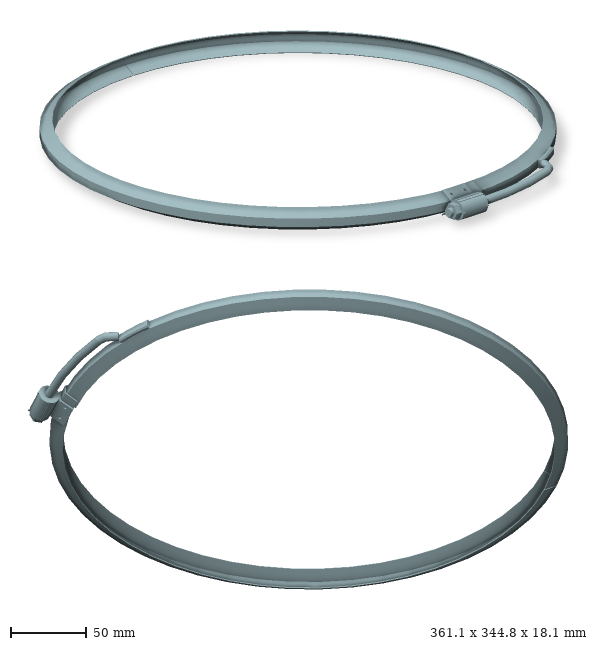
import cadquery as cq
import math

crest_half_height = 3.0
flank_turn = math.radians(59.5)
band_thickness = 0.7
band_half_height = 8.0

lower_radius = 172.5
lower_overlap = 8.5

upper_radius = 171.75
upper_center = (upper_radius - lower_radius, 0.53)

saddle_thickness = 1.0
saddle_length = 20.0
saddle_half_height = 9.06
weld_hole_diameter = 2.0
weld_hole_x = 168.7
weld_hole_ys = (-3.5, -15.5)

barrel_diameter = 14.2
barrel_length = 22.0
barrel_x = lower_radius + saddle_thickness + barrel_diameter / 2
web_half_height = 2.5
groove_angles = (65, 88)
groove_width = 0.8
groove_depth = 0.5
tab_reach = 188.56
tab_size = 1.0
tab_root = 2.0

nut_across_flats = 10.0
nut_thickness = 4.7

bolt_diameter = 6.0
bolt_radius = bolt_diameter / 2
bolt_end_y = -29.7
bow_radius = 200.0
bow_angle = math.asin(71.0 / bow_radius)
neck_point = (164.4, 75.6)
neck_end = (156.5, 78.8)
foot_thickness = 3.0
foot_height = 6.0
foot_chamfer = 1.0
foot_start_angle = 26.0
foot_end_angle = 34.5


def channel_profile(radius, crest, half_height, thickness):
    """Bent-sheet V section, in the XZ plane, with flank ends cut square to the sheet."""
    flank_rise = half_height - crest
    lip = radius - flank_rise * math.tan(flank_turn)
    inner_crest = crest - thickness * math.tan(flank_turn / 2)
    inner_lip = lip - thickness * math.cos(flank_turn)
    inner_half_height = half_height - thickness * math.sin(flank_turn)
    upper_side = [
        (inner_lip, inner_half_height),
        (lip, half_height),
        (radius, crest),
    ]
    lower_side = [(x, -z) for x, z in reversed(upper_side)]
    inner_side = [(radius - thickness, -inner_crest), (radius - thickness, inner_crest)]
    return cq.Workplane("XZ").polyline(upper_side + lower_side + inner_side).close()


def band(radius, start_angle, sweep_angle):
    """Arc of V-band, counter-clockwise from start_angle, about the Z axis."""
    profile = channel_profile(radius, crest_half_height, band_half_height, band_thickness)
    arc = profile.revolve(sweep_angle, (0, 0, 0), (0, 1, 0))
    return arc.rotate((0, 0, 0), (0, 0, 1), start_angle)


def make_weld_holes():
    points = [(weld_hole_x, y) for y in weld_hole_ys]
    holes = cq.Workplane("XY").workplane(offset=-saddle_half_height).pushPoints(points)
    return holes.circle(weld_hole_diameter / 2).extrude(2 * saddle_half_height)


def make_lower_band():
    overlap_angle = math.degrees(math.asin(lower_overlap / lower_radius))
    return band(lower_radius, 180, 180 + overlap_angle).cut(make_weld_holes())


def make_upper_band():
    return band(upper_radius, 0, 180).translate((*upper_center, 0))


def neck_segment(start, end):
    """Round bar between two points of the XY plane, with a ball at its start to fill the bend."""
    vector = cq.Vector(*end) - cq.Vector(*start)
    bar = cq.Workplane(cq.Solid.makeCylinder(bolt_radius, vector.Length, cq.Vector(*start), vector))
    ball = cq.Workplane("XY").sphere(bolt_radius).translate((*start, 0))
    return bar.union(ball)


def make_bolt():
    shank = cq.Workplane("XZ", origin=(barrel_x, 0, 0)).circle(bolt_radius).extrude(-bolt_end_y)
    bow_center_x = barrel_x - bow_radius
    bow_section = cq.Workplane("XZ", origin=(barrel_x, 0, 0)).circle(bolt_radius)
    bow = bow_section.revolve(math.degrees(bow_angle), (-bow_radius, 0, 0), (-bow_radius, 1, 0))
    bow_end = (
        bow_center_x + bow_radius * math.cos(bow_angle),
        bow_radius * math.sin(bow_angle),
    )
    neck = neck_segment(bow_end, neck_point).union(neck_segment(neck_point, neck_end))
    neck = neck.cut(make_upper_disc())
    return shank.union(bow).union(neck).union(make_foot())


def make_upper_disc():
    """Space inside the upper band's crest, which the bolt must stay out of."""
    disc = cq.Workplane("XY").circle(upper_radius).extrude(foot_height, both=True)
    return disc.translate((*upper_center, 0))


def make_foot():
    half = foot_height / 2
    outer = upper_radius + foot_thickness
    points = [
        (upper_radius, -half),
        (outer - foot_chamfer, -half),
        (outer, -half + foot_chamfer),
        (outer, half - foot_chamfer),
        (outer - foot_chamfer, half),
        (upper_radius, half),
    ]
    section = cq.Workplane("XZ").polyline(points).close()
    foot = section.revolve(foot_end_angle - foot_start_angle, (0, 0, 0), (0, 1, 0))
    return foot.rotate((0, 0, 0), (0, 0, 1), foot_start_angle).translate((*upper_center, 0))


def make_barrel():
    barrel = cq.Workplane("XZ", origin=(barrel_x, 0, 0)).circle(barrel_diameter / 2).extrude(barrel_length)
    for angle in groove_angles:
        for side in (1, -1):
            cutter = cq.Workplane("XY").box(2 * groove_depth, 2 * barrel_length, groove_width)
            cutter = cutter.translate((barrel_diameter / 2, -barrel_length / 2, 0))
            cutter = cutter.rotate((0, 0, 0), (0, 1, 0), side * angle)
            barrel = barrel.cut(cutter.translate((barrel_x, 0, 0)))
    tab_start = barrel_x + barrel_diameter / 2 - tab_root
    for y in (-tab_size / 2, -barrel_length + tab_size / 2):
        tab = cq.Workplane("XY").box(tab_reach - tab_start, tab_size, tab_size)
        barrel = barrel.union(tab.translate(((tab_start + tab_reach) / 2, y, 0)))
    return barrel


def make_saddle():
    outer_crest = crest_half_height + saddle_thickness * math.tan(flank_turn / 2)
    profile = channel_profile(
        lower_radius + saddle_thickness, outer_crest, saddle_half_height, saddle_thickness
    )
    channel = profile.extrude(saddle_length).cut(make_weld_holes())
    web = cq.Workplane("XY").box(
        barrel_x - lower_radius, saddle_length, 2 * web_half_height, centered=(False, False, True)
    )
    web = web.translate((lower_radius, -saddle_length, 0))
    bore = cq.Workplane("XZ", origin=(barrel_x, 0, 0)).circle(bolt_radius).extrude(barrel_length)
    return channel.union(web).union(make_barrel()).cut(bore)


def make_nut():
    nut = cq.Workplane("XZ", origin=(barrel_x, -barrel_length, 0))
    corner_diameter = nut_across_flats / math.cos(math.pi / 6)
    return nut.polygon(6, corner_diameter).circle(bolt_radius).extrude(nut_thickness)


lower_band = make_lower_band()
upper_band = make_upper_band()
saddle = make_saddle()
bolt = make_bolt()
nut = make_nut()

result = cq.Compound.makeCompound(
    [lower_band.val(), upper_band.val(), saddle.val(), bolt.val(), nut.val()]
)